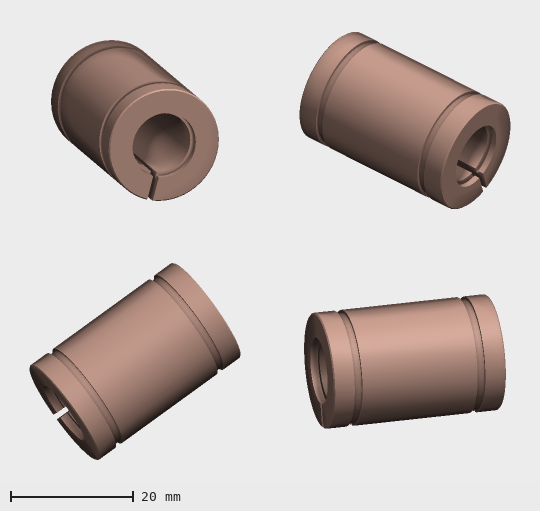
import cadquery as cq

length = 29.0
outer_diameter = 19.0
bore_diameter = 10.0
end_chamfer = 0.2

counterbore_diameter = 10.9
counterbore_depth = 1.0

recess_diameter = 12.0
recess_width = 0.45

groove_diameter = 18.0
groove_width = 1.3
groove_outer_span = 22.0

slot_width = 1.0
slot_angle = 15.0

def cylinder_along_x(diameter, start, depth):
    """Solid cylinder on the X axis, running from x = start in +X."""
    return cq.Workplane("YZ", origin=(start, 0, 0)).circle(diameter / 2).extrude(depth)

def outer_groove(start):
    """Ring of material to remove from the outside, beginning at x = start."""
    ring = cylinder_along_x(outer_diameter, start, groove_width)
    return ring.cut(cylinder_along_x(groove_diameter, start, groove_width))

def wall_slot():
    """Radial slab from the axis outward through the lower wall."""
    slab = cq.Workplane("XY").box(length, slot_width, outer_diameter, centered=(True, True, False))
    return slab.rotate((0, 0, 0), (1, 0, 0), 180 - slot_angle)

end_x = length / 2
groove_outer_x = groove_outer_span / 2

sleeve = cylinder_along_x(outer_diameter, -end_x, length)
sleeve = sleeve.faces("<X or >X").edges().chamfer(end_chamfer)
sleeve = sleeve.cut(cylinder_along_x(bore_diameter, -end_x, length))

for counterbore_start in (-end_x, end_x - counterbore_depth):
    sleeve = sleeve.cut(cylinder_along_x(counterbore_diameter, counterbore_start, counterbore_depth))

for groove_start in (-groove_outer_x, groove_outer_x - groove_width):
    sleeve = sleeve.cut(outer_groove(groove_start))

recess_outer_x = end_x - counterbore_depth
for recess_start in (-recess_outer_x, recess_outer_x - recess_width):
    sleeve = sleeve.cut(cylinder_along_x(recess_diameter, recess_start, recess_width))

result = sleeve.cut(wall_slot())